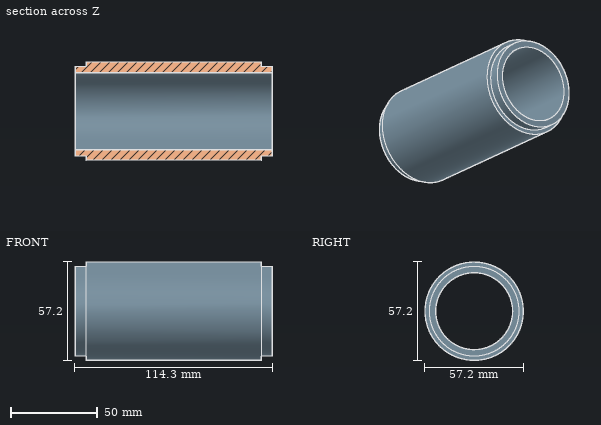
import cadquery as cq

total_length = 114.3
body_diameter = 57.2
spigot_diameter = 52.0
bore_diameter = 44.5
spigot_length = 6.4

body_length = total_length - 2 * spigot_length


def cylinder_along_x(diameter, length):
    """Solid cylinder on the X axis, centred on the origin."""
    start_plane = cq.Workplane("YZ", origin=(-length / 2, 0, 0))
    return start_plane.circle(diameter / 2).extrude(length)


body = cylinder_along_x(body_diameter, body_length)
spigots = cylinder_along_x(spigot_diameter, total_length)

bore = cylinder_along_x(bore_diameter, total_length)

result = body.union(spigots).cut(bore)